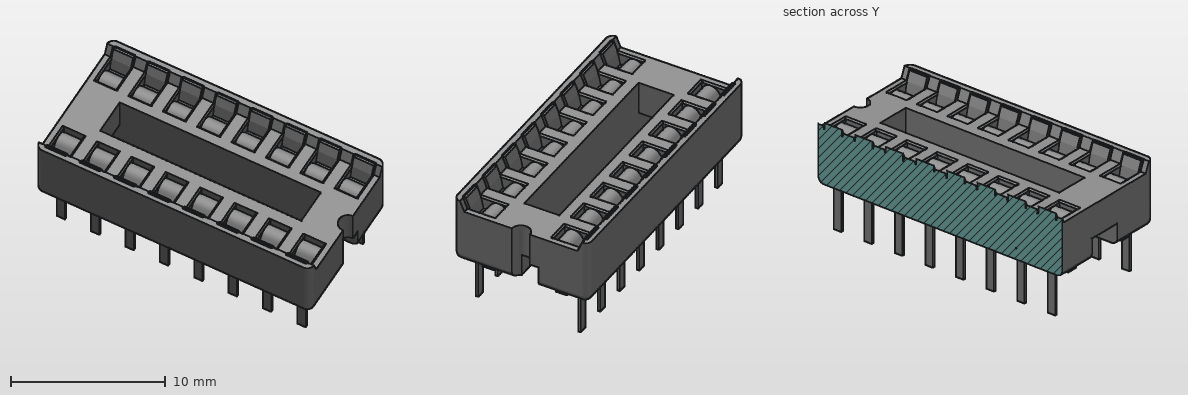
import math

import cadquery as cq

length = 20.32
width = 10.0
height = 4.8
edge_radius = 0.5

deck_z = 4.03
trench_half_top = 4.53
trench_half_deck = 4.2

window_length = 14.86
window_width = 2.6
notch_height = 1.6
left_notch_y = (-window_width / 2, window_width / 2)
right_notch_y = (-0.28, window_width / 2)
key_radius = 0.66

rail_drop = 0.3
rail_inner_y = 2.31
rail_outer_y = 3.14
rail_length = length - 2 * edge_radius

pitch = 2.54
pins_per_row = 8
pin_row_y = 3.81
pin_width = 0.62
pin_thickness = 0.2
pin_drop = 3.3

root_depth = 0.5

pocket_width = 1.46
pocket_inner_y = 2.13
pocket_outer_y = 4.57
pocket_floor_z = 3.1
rim_chamfer = 0.12

crest_y = 2.81
crest_z = 3.9
leaf_radius = crest_y - pocket_inner_y
leaf_slope = math.radians(53)
plate_foot_y = 3.92
plate_bend_y = 4.11
plate_top_y = 4.39
plate_top_z = 4.72
contact_base_z = 2.9

pin_xs = [(i - (pins_per_row - 1) / 2) * pitch for i in range(pins_per_row)]


def block(x_range, y_range, z_range):
    """Box between the given coordinate limits."""
    corner = (x_range[0], y_range[0], z_range[0])
    size = (x_range[1] - x_range[0], y_range[1] - y_range[0], z_range[1] - z_range[0])
    return cq.Workplane("XY").box(*size, centered=False).translate(corner)


def make_housing():
    """Rounded block with the trench, window, end notches and key groove cut out."""
    half_length = length / 2
    half_window = window_length / 2
    body = cq.Workplane("XY").box(length, width, height, centered=(True, True, False))
    body = body.edges("|Z").fillet(edge_radius).faces("<Z").edges().fillet(edge_radius)

    trench = (
        cq.Workplane("YZ")
        .polyline([
            (-trench_half_top, height),
            (-trench_half_deck, deck_z),
            (trench_half_deck, deck_z),
            (trench_half_top, height),
        ])
        .close()
        .extrude(half_length, both=True)
    )
    window = cq.Workplane("XY").box(window_length, window_width, height, centered=(True, True, False))
    left_notch = block((-half_length, -half_window), left_notch_y, (0, notch_height))
    right_notch = block((half_window, half_length), right_notch_y, (0, notch_height))
    key = cq.Workplane("XY").center(half_length, 0).circle(key_radius).extrude(height)
    return body.cut(trench).cut(window).cut(left_notch).cut(right_notch).cut(key)


def rim_groove(plane, run):
    """Groove with 45 degree sides, sunk along the plane's local +Y and extruded over the run."""
    half_width = pocket_width / 2
    return (
        cq.Workplane(plane)
        .polyline([
            (-half_width - rim_chamfer, 0),
            (half_width + rim_chamfer, 0),
            (half_width, rim_chamfer),
            (-half_width, rim_chamfer),
        ])
        .close()
        .extrude(run)
    )


def make_pocket():
    """Pocket on the +Y side, centred on X = 0, with long rims chamfered across deck and lip."""
    half_width = pocket_width / 2
    y_range = (pocket_inner_y, pocket_outer_y)
    shaft = block((-half_width, half_width), y_range, (pocket_floor_z, height))

    deck_plane = cq.Plane(origin=(0, pocket_inner_y, deck_z), xDir=(1, 0, 0), normal=(0, 1, 0))
    deck_rim = rim_groove(deck_plane, trench_half_deck + rim_chamfer - pocket_inner_y)

    lip_run = trench_half_top - trench_half_deck
    lip_rise = height - deck_z
    lip_plane = cq.Plane(
        origin=(0, trench_half_deck, deck_z), xDir=(1, 0, 0), normal=(0, lip_run, lip_rise)
    )
    lip_rim = rim_groove(lip_plane, math.hypot(lip_run, lip_rise))
    return shaft.union(deck_rim).union(lip_rim)


def make_inner_rim():
    """Chamfer cutter for the inner end rim of a +Y row pocket, centred on X = 0."""
    half_width = pocket_width / 2 + rim_chamfer
    return (
        cq.Workplane("YZ")
        .polyline([
            (pocket_inner_y, deck_z),
            (pocket_inner_y - rim_chamfer, deck_z),
            (pocket_inner_y, deck_z - rim_chamfer),
        ])
        .close()
        .extrude(half_width, both=True)
    )


def make_contact():
    """Contact filling the pocket on the +Y side, centred on X = 0."""
    arc_center_z = crest_z - leaf_radius
    leaf_end_y = crest_y + leaf_radius * math.sin(leaf_slope)
    leaf_end_z = arc_center_z + leaf_radius * math.cos(leaf_slope)
    leaf_foot_y = leaf_end_y + (leaf_end_z - pocket_floor_z) / math.tan(leaf_slope)
    return (
        cq.Workplane("YZ")
        .moveTo(pocket_inner_y, contact_base_z)
        .lineTo(pocket_inner_y, arc_center_z)
        .tangentArcPoint((crest_y, crest_z), relative=False)
        .tangentArcPoint((leaf_end_y, leaf_end_z), relative=False)
        .lineTo(leaf_foot_y, pocket_floor_z)
        .lineTo(plate_foot_y, pocket_floor_z)
        .lineTo(plate_bend_y, deck_z)
        .lineTo(plate_top_y, plate_top_z)
        .lineTo(pocket_outer_y, plate_top_z)
        .lineTo(pocket_outer_y, contact_base_z)
        .close()
        .extrude(pocket_width / 2, both=True)
    )


def make_pin():
    """Flat pin of the +Y row, rooted in the housing."""
    half_width = pin_width / 2
    y_range = (pin_row_y - pin_thickness / 2, pin_row_y + pin_thickness / 2)
    return block((-half_width, half_width), y_range, (-pin_drop, root_depth))


def make_rail():
    """Standoff rail of the +Y side."""
    half_length = rail_length / 2
    return block((-half_length, half_length), (rail_inner_y, rail_outer_y), (-rail_drop, root_depth))


def both_rows(shape):
    """The shape on the +Y side together with its mirror image on the -Y side."""
    return [shape, shape.mirror("XZ")]


result = make_housing()
for x in pin_xs:
    result = result.cut(make_inner_rim().translate((x, 0, 0)))
for pocket in both_rows(make_pocket()):
    for x in pin_xs:
        result = result.cut(pocket.translate((x, 0, 0)))
for contact in both_rows(make_contact().union(make_pin())):
    for x in pin_xs:
        result = result.union(contact.translate((x, 0, 0)))
for rail in both_rows(make_rail()):
    result = result.union(rail)